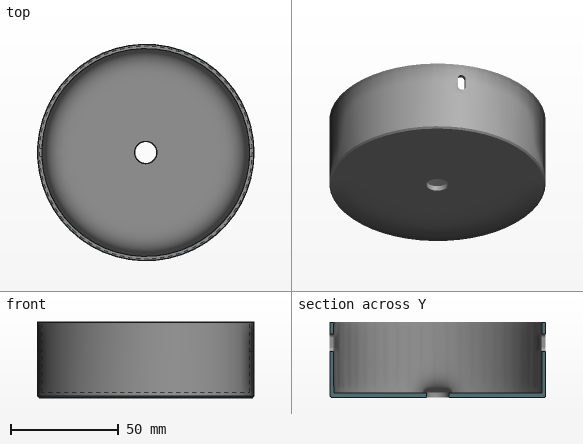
import cadquery as cq

outer_diameter = 100.3
inner_diameter = 96.3
height = 35.0
floor_thickness = 2.4
bottom_chamfer = 0.8

floor_hole_diameter = 10.2

slot_width = 3.5
slot_length = 8.0
slot_center_below_rim = 9.5


def make_cup():
    body = cq.Workplane("XY").circle(outer_diameter / 2).extrude(height)
    body = body.faces("<Z").edges().chamfer(bottom_chamfer)
    cavity = (
        cq.Workplane("XY", origin=(0, 0, floor_thickness))
        .circle(inner_diameter / 2)
        .extrude(height - floor_thickness)
    )
    return body.cut(cavity)


def make_floor_hole():
    return cq.Workplane("XY").circle(floor_hole_diameter / 2).extrude(floor_thickness)


def make_wall_slots():
    """One long bar along X that cuts both opposite slots."""
    slot_center_height = height - slot_center_below_rim
    return (
        cq.Workplane("YZ", origin=(0, 0, slot_center_height))
        .slot2D(slot_length, slot_width, angle=90)
        .extrude(outer_diameter / 2, both=True)
    )


result = make_cup().cut(make_floor_hole()).cut(make_wall_slots())